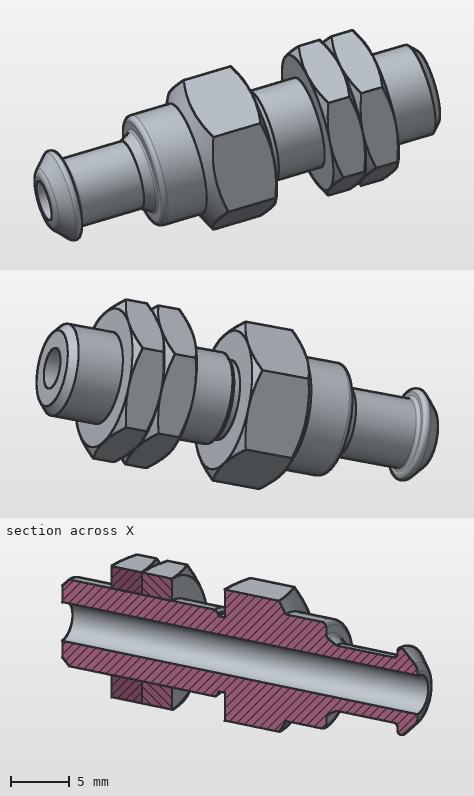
import cadquery as cq
import math

length = 35.0
across_flats = 12.0
hex_chamfer_angle = 30.0
bore_radius = 1.75

lead_in_angle = 45.0
tip_flat_radius = 2.05
tip_rounding = 1.0
bead_radius = 4.0
bead_rounding = 0.4
neck_radius = 3.0
neck_fillet = 0.3
neck_end = 7.98
flare_angle = 30.0
root_fillet = 0.3

collar_radius = 4.9
collar_rounding = 0.45
collar_front = 9.0
hex_front = 13.0
hex_back = 19.0

stud_radius = 4.0
undercut_radius = 3.45
undercut_end = 19.65
undercut_chamfer = 0.3
stud_chamfer = 0.7

nut_count = 2
nut_thickness = 3.0
nuts_front = 24.15

flat_radius = across_flats / 2
corner_radius = flat_radius / math.cos(math.radians(30))
chamfer_slope = math.tan(math.radians(hex_chamfer_angle))


def revolve_about_y(profile):
    return profile.revolve(360, (0, 0, 0), (0, 1, 0))


def chamfered_hexagon(front, back, front_face_radius):
    """Hexagonal prism along Y, its corners turned off by a cone at each end."""
    front_drop = (corner_radius - front_face_radius) * chamfer_slope
    back_drop = (corner_radius - flat_radius) * chamfer_slope
    prism = (
        cq.Workplane("XZ", origin=(0, back, 0))
        .polygon(6, 2 * corner_radius)
        .extrude(back - front)
    )
    envelope = revolve_about_y(
        cq.Workplane("XY").polyline([
            (0, front),
            (front_face_radius, front),
            (corner_radius, front + front_drop),
            (corner_radius, back - back_drop),
            (flat_radius, back),
            (0, back),
        ]).close()
    )
    return prism.intersect(envelope)


def nozzle_and_collar():
    """Nozzle with a rounded bead and a flared root, running into the collar."""
    lead_in = math.radians(lead_in_angle)
    cone_start_radius = tip_flat_radius + tip_rounding * math.sin(lead_in)
    cone_start = tip_rounding * (1 - math.cos(lead_in))
    cone_end_radius = bead_radius - bead_rounding * (1 - math.cos(lead_in))
    cone_end = cone_start + (cone_end_radius - cone_start_radius) / math.tan(lead_in)
    bead_middle = cone_end + bead_rounding * math.sin(lead_in)
    bead_back = bead_middle + bead_rounding

    flare = math.radians(flare_angle)
    flare_end = collar_front - root_fillet * (1 - math.sin(flare))
    flare_end_radius = neck_radius + (flare_end - neck_end) * math.tan(flare)
    root_radius = flare_end_radius + root_fillet * math.cos(flare)

    return revolve_about_y(
        cq.Workplane("XY")
        .moveTo(0, 0)
        .lineTo(tip_flat_radius, 0)
        .radiusArc((cone_start_radius, cone_start), -tip_rounding)
        .lineTo(cone_end_radius, cone_end)
        .threePointArc((bead_radius, bead_middle), (bead_radius - bead_rounding, bead_back))
        .lineTo(neck_radius + neck_fillet, bead_back)
        .radiusArc((neck_radius, bead_back + neck_fillet), neck_fillet)
        .lineTo(neck_radius, neck_end)
        .lineTo(flare_end_radius, flare_end)
        .radiusArc((root_radius, collar_front), root_fillet)
        .lineTo(collar_radius - collar_rounding, collar_front)
        .radiusArc((collar_radius, collar_front + collar_rounding), -collar_rounding)
        .lineTo(collar_radius, hex_front)
        .lineTo(0, hex_front)
        .close()
    )


def stud():
    """Stud with an undercut next to the hexagon and a chamfered free end."""
    return revolve_about_y(
        cq.Workplane("XY").polyline([
            (0, hex_back),
            (undercut_radius, hex_back),
            (undercut_radius, undercut_end),
            (stud_radius - undercut_chamfer, undercut_end),
            (stud_radius, undercut_end + undercut_chamfer),
            (stud_radius, length - stud_chamfer),
            (stud_radius - stud_chamfer, length),
            (0, length),
        ]).close()
    )


def through_cylinder(radius):
    return cq.Workplane("XZ").circle(radius).extrude(-length)


def make_fitting():
    blank = (
        nozzle_and_collar()
        .union(chamfered_hexagon(hex_front, hex_back, collar_radius))
        .union(stud())
    )
    return blank.cut(through_cylinder(bore_radius))


def make_lock_nut(front):
    nut = chamfered_hexagon(front, front + nut_thickness, flat_radius)
    return nut.cut(through_cylinder(stud_radius))


fitting = make_fitting()
lock_nuts = [make_lock_nut(nuts_front + i * nut_thickness) for i in range(nut_count)]

result = cq.Compound.makeCompound([fitting.val(), *[nut.val() for nut in lock_nuts]])